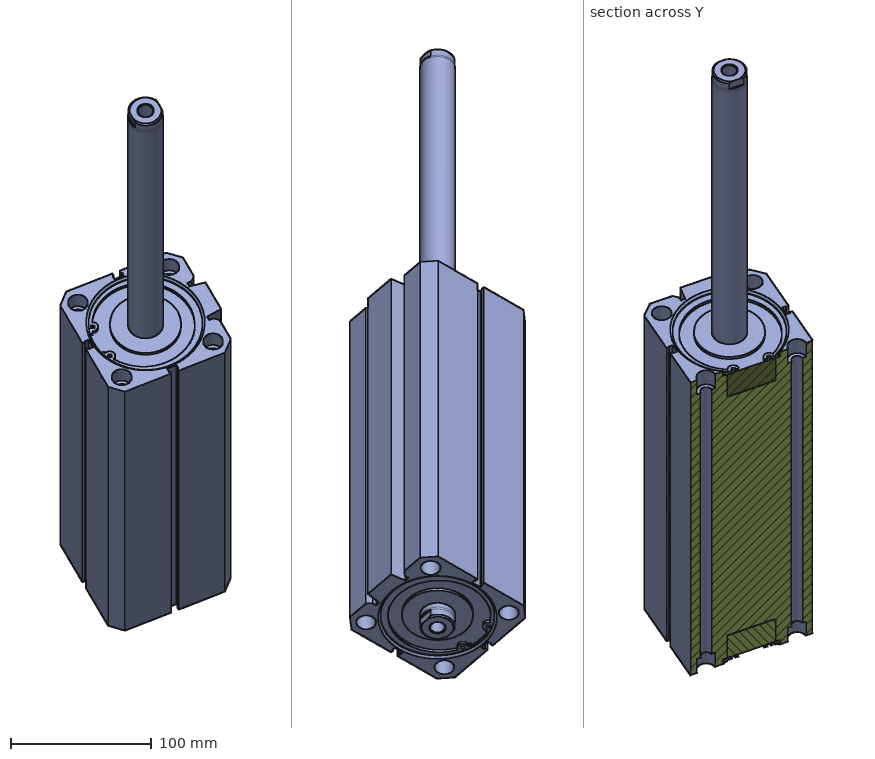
import cadquery as cq
import math

TOTAL_LENGTH = 562.0
BODY_WIDTH = 96.5
BODY_LENGTH = 293.0
TAIL_LENGTH = 10.0
HALF_WIDTH = BODY_WIDTH / 2
BODY_TOP = TAIL_LENGTH + BODY_LENGTH

CORNER_CHAMFER = 9.0
RAIL_HEIGHT = 5.0
RAIL_TOP_WIDTH = 26.0
RAIL_BASE_WIDTH = 29.0
VALLEY_DEPTH = 7.0
VALLEY_FLOOR_WIDTH = 3.5
VALLEY_SHOULDER_WIDTH = 3.5
VALLEY_SHOULDER_DROP = 3.5
SLOT_MOUTH_WIDTH = 5.5
SLOT_INNER_WIDTH = 7.5
SLOT_LIP = 2.0
SLOT_DEPTH = 5.0
SLOT_ANGLES = (0, 180, 270)

BOLT_PITCH = 72.0
BOLT_HOLE_DIAMETER = 8.5
COUNTERBORE_DIAMETER = 14.0
COUNTERBORE_DEPTH = 14.0

ROD_DIAMETER = 25.5
ROD_END_DIAMETER = 25.0
ROD_END_LENGTH = 7.0
ROD_SHOULDER_CHAMFER = 1.5
ROD_END_CHAMFER = 1.0
FLATS_WIDTH = 22.0
THREAD_DRILL_DIAMETER = 10.5
THREAD_DIAMETER = 12.0
THREAD_DEPTH = 28.0
DRILL_POINT_ANGLE = 118

BORE_DIAMETER = 81.0
BORE_CHAMFER = 1.5
BORE_CHAMFER_ANGLE = 45
COLLAR_LENGTH = 22.5
BOSS_DIAMETER = 50.5

RING_OUTER_DIAMETER = 84.5
RING_INNER_DIAMETER = 73.0
RING_INNER_OFFSET = 1.5
RING_THICKNESS = 2.0
RING_RECESS = 2.0
RING_TOP = BODY_TOP - RING_RECESS
RING_BOTTOM = RING_TOP - RING_THICKNESS
RING_GAP = 18.0
LUG_DIAMETER = 8.0
LUG_CENTRE_RADIUS = 37.5
LUG_ANGLE = 22
LUG_HOLE_DIAMETER = 3.0


def cylinder(diameter, bottom, top):
    return cq.Workplane("XY").workplane(offset=bottom).circle(diameter / 2).extrude(top - bottom)


def mirrored_to_tail(body):
    """Mirror a shape from the rod end of the housing to its tail end."""
    return body.mirror("XY", (0, 0, (TAIL_LENGTH + BODY_TOP) / 2))


def housing_block():
    rail_base = RAIL_BASE_WIDTH / 2
    valley_floor = HALF_WIDTH - VALLEY_DEPTH
    valley_wall = rail_base + VALLEY_FLOOR_WIDTH
    chamfer_start = HALF_WIDTH - CORNER_CHAMFER
    left = [
        (-RAIL_TOP_WIDTH / 2, HALF_WIDTH + RAIL_HEIGHT),
        (-rail_base, valley_floor),
        (-valley_wall, valley_floor),
        (-valley_wall, HALF_WIDTH - VALLEY_SHOULDER_DROP),
        (-valley_wall - VALLEY_SHOULDER_WIDTH, HALF_WIDTH),
        (-chamfer_start, HALF_WIDTH),
        (-HALF_WIDTH, chamfer_start),
        (-HALF_WIDTH, -chamfer_start),
        (-chamfer_start, -HALF_WIDTH),
    ]
    right = [(-x, y) for x, y in reversed(left)]
    base = cq.Workplane("XY").workplane(offset=TAIL_LENGTH)
    return base.polyline(left + right).close().extrude(BODY_LENGTH)


def side_slot(angle):
    """T-slot running the full housing length, in the side at the given angle from +X."""
    lip = HALF_WIDTH - SLOT_LIP
    floor = HALF_WIDTH - SLOT_DEPTH
    upper = [
        (HALF_WIDTH, SLOT_MOUTH_WIDTH / 2),
        (lip, SLOT_MOUTH_WIDTH / 2),
        (lip, SLOT_INNER_WIDTH / 2),
        (floor, SLOT_INNER_WIDTH / 2),
    ]
    lower = [(x, -y) for x, y in reversed(upper)]
    base = cq.Workplane("XY").workplane(offset=TAIL_LENGTH)
    slot = base.polyline(upper + lower).close().extrude(BODY_LENGTH)
    return slot.rotate((0, 0, 0), (0, 0, 1), angle)


def corner_cylinders(diameter, length):
    """Four cylinders at the bolt positions, rising from the tail face of the housing."""
    base = cq.Workplane("XY").workplane(offset=TAIL_LENGTH)
    corners = base.rect(BOLT_PITCH, BOLT_PITCH, forConstruction=True).vertices()
    return corners.circle(diameter / 2).extrude(length)


def collar_pocket():
    """Pocket at the rod end for a collar, with the ring groove and a chamfered mouth."""
    bore = cylinder(BORE_DIAMETER, RING_BOTTOM - COLLAR_LENGTH, BODY_TOP)
    groove = cylinder(RING_OUTER_DIAMETER, RING_BOTTOM, RING_TOP)
    mouth = cq.Workplane("XY").workplane(offset=BODY_TOP).circle(BORE_DIAMETER / 2 + BORE_CHAMFER)
    mouth = mouth.extrude(-BORE_CHAMFER, taper=BORE_CHAMFER_ANGLE)
    return bore.union(groove).union(mouth)


def make_housing():
    housing = housing_block()
    for angle in SLOT_ANGLES:
        housing = housing.cut(side_slot(angle))
    housing = housing.cut(corner_cylinders(BOLT_HOLE_DIAMETER, BODY_LENGTH))
    counterbores = corner_cylinders(COUNTERBORE_DIAMETER, COUNTERBORE_DEPTH)
    pocket = collar_pocket()
    for feature in (counterbores, pocket):
        housing = housing.cut(feature).cut(mirrored_to_tail(feature))
    return housing.cut(cylinder(ROD_DIAMETER, TAIL_LENGTH, BODY_TOP))


def rod_end():
    """Upper rod end, from the shoulder up, with two wrench flats facing +Y and -Y."""
    bottom = TOTAL_LENGTH - ROD_END_LENGTH
    end = cylinder(ROD_END_DIAMETER, bottom, TOTAL_LENGTH).faces(">Z").chamfer(ROD_END_CHAMFER)
    between_flats = cq.Workplane("XY").box(
        ROD_END_DIAMETER, FLATS_WIDTH, ROD_END_LENGTH, centered=(True, True, False)
    )
    return end.intersect(between_flats.translate((0, 0, bottom)))


def threaded_hole():
    """Drilled hole in the upper rod end, countersunk to the thread diameter."""
    radius = THREAD_DRILL_DIAMETER / 2
    mouth_radius = THREAD_DIAMETER / 2
    floor = TOTAL_LENGTH - THREAD_DEPTH
    tip = floor - radius / math.tan(math.radians(DRILL_POINT_ANGLE / 2))
    countersink = TOTAL_LENGTH - (mouth_radius - radius)
    outline = [
        (0, TOTAL_LENGTH),
        (mouth_radius, TOTAL_LENGTH),
        (radius, countersink),
        (radius, floor),
        (0, tip),
    ]
    return cq.Workplane("XZ").polyline(outline).close().revolve(360, (0, 0), (0, 1))


def make_rod():
    """Rod passing through the whole cylinder, with the same end shape at both ends."""
    rod = cylinder(ROD_DIAMETER, ROD_END_LENGTH, TOTAL_LENGTH - ROD_END_LENGTH)
    shoulder_step = (ROD_DIAMETER - ROD_END_DIAMETER) / 2
    rod = rod.faces("<Z or >Z").edges().chamfer(ROD_SHOULDER_CHAMFER, shoulder_step)
    end = rod_end()
    hole = threaded_hole()
    rod_middle = (0, 0, TOTAL_LENGTH / 2)
    rod = rod.union(end).union(end.mirror("XY", rod_middle))
    return rod.cut(hole).cut(hole.mirror("XY", rod_middle))


def make_collar():
    """Rod-end collar: a disc with a raised boss around the rod."""
    collar = cylinder(BORE_DIAMETER, RING_BOTTOM - COLLAR_LENGTH, RING_BOTTOM)
    collar = collar.union(cylinder(BOSS_DIAMETER, RING_BOTTOM - COLLAR_LENGTH, RING_TOP))
    return collar.cut(cylinder(ROD_DIAMETER, RING_BOTTOM - COLLAR_LENGTH, RING_TOP))


def make_ring():
    """Rod-end retaining ring, narrowing toward its gap at -Y, with a drilled lug at each end."""
    ring = cylinder(RING_OUTER_DIAMETER, RING_BOTTOM, RING_TOP)
    opening = cylinder(RING_INNER_DIAMETER, RING_BOTTOM, RING_TOP).translate((0, -RING_INNER_OFFSET, 0))
    ring = ring.cut(opening)
    lug_x = LUG_CENTRE_RADIUS * math.sin(math.radians(LUG_ANGLE))
    lug_y = -LUG_CENTRE_RADIUS * math.cos(math.radians(LUG_ANGLE))
    for side in (-1, 1):
        place = (side * lug_x, lug_y, 0)
        ring = ring.union(cylinder(LUG_DIAMETER, RING_BOTTOM, RING_TOP).translate(place))
        ring = ring.cut(cylinder(LUG_HOLE_DIAMETER, RING_BOTTOM, RING_TOP).translate(place))
    gap = cq.Workplane("XY").workplane(offset=RING_BOTTOM).center(0, -RING_OUTER_DIAMETER / 2)
    return ring.cut(gap.rect(RING_GAP, RING_OUTER_DIAMETER).extrude(RING_THICKNESS))


housing = make_housing()
rod = make_rod()
collar = make_collar()
ring = make_ring()
collars = [collar, mirrored_to_tail(collar)]
rings = [ring, mirrored_to_tail(ring)]

bodies = [housing, rod, *collars, *rings]
result = cq.Compound.makeCompound([body.val() for body in bodies])